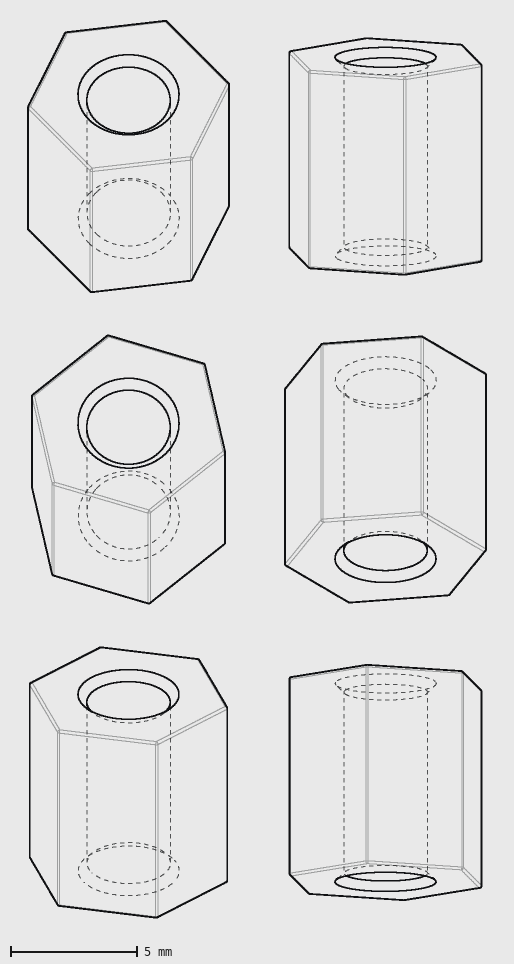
import cadquery as cq
import math

width_over_corners = 8.05
height = 8.0
edge_radius = 0.1
bore_diameter = 3.3
countersink_diameter = 4.0

corner_trim = edge_radius * (1 / math.cos(math.radians(30)) - 1)
sharp_width = width_over_corners + 2 * corner_trim

countersink_depth = (countersink_diameter - bore_diameter) / 2

body = cq.Workplane("XY").polygon(6, sharp_width).extrude(height)
body = body.edges().fillet(edge_radius)

bored_body = body.faces(">Z").workplane().hole(bore_diameter)
result = bored_body.edges("%CIRCLE").edges(
    cq.selectors.RadiusNthSelector(-1)
).chamfer(countersink_depth)